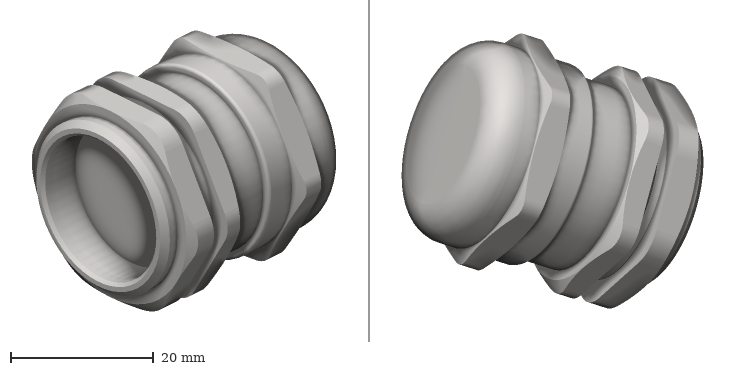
import cadquery as cq
import math

length = 35.15
across_flats = 30.0

thread_dia = 26.45
thread_root_dia = 24.5
thread_chamfer = (thread_dia - thread_root_dia) / 2
bore_dia = 22.0
bore_chamfer = 0.5

collar_dia = 27.45
collar_round = (collar_dia - thread_root_dia) / 2
body_dia = 27.0

cap_start = 19.2
cap_dia = 29.5
cap_edge_fillet = 0.5
dome_radius = 4.55

lock_nut_start = 2.45
lock_nut_thickness = 4.0
lock_nut_corner = 5.5
body_hex_start = 9.05
body_hex_thickness = 3.48
body_hex_corner = 4.5
cap_hex_start = 23.7
cap_hex_thickness = 4.45
cap_hex_corner = 3.0

bore_depth = lock_nut_start + lock_nut_thickness

collar_start = body_hex_start - collar_round

body_hex_face_dia = 29.8
nut_bevel_angle = 30.0
cap_bevel_angle = 20.0


def cylinder(start, end, diameter):
    """Round bar along Y between two positions."""
    return cq.Workplane("XZ", origin=(0, start, 0)).circle(diameter / 2).extrude(start - end)


def bevel_envelope(start, end, face_dia, angle):
    """Cone that is face_dia wide at start and widens towards end."""
    face_radius = face_dia / 2
    wide_radius = face_radius + abs(end - start) / math.tan(math.radians(angle))
    profile = [(0, start), (face_radius, start), (wide_radius, end), (0, end)]
    return cq.Workplane("XY").polyline(profile).close().revolve(360, (0, 0, 0), (0, 1, 0))


def hexagon(start, thickness, corner_radius):
    """Hexagonal prism along Y with six rounded corners, two of them pointing along X."""
    across_corners = across_flats / math.cos(math.radians(30))
    prism = cq.Workplane("XZ", origin=(0, start, 0)).polygon(6, across_corners).extrude(-thickness)
    return prism.edges("|Y").fillet(corner_radius)


def threaded_end():
    thread = cylinder(0, collar_start, thread_dia)
    return thread.faces("<Y or >Y").chamfer(thread_chamfer)


def collar():
    """Ring whose outer side is one quarter round from the thread root to the body hexagon."""
    root_radius = thread_root_dia / 2
    outer_radius = collar_dia / 2
    arc_offset = collar_round * math.sin(math.radians(45))
    arc_middle = (root_radius + arc_offset, body_hex_start - arc_offset)
    profile = (
        cq.Workplane("XY")
        .moveTo(0, collar_start)
        .lineTo(root_radius, collar_start)
        .threePointArc(arc_middle, (outer_radius, body_hex_start))
        .lineTo(0, body_hex_start)
        .close()
    )
    return profile.revolve(360, (0, 0, 0), (0, 1, 0))


def cap():
    shell = cylinder(cap_start, length, cap_dia)
    shell = shell.faces(">Y").edges().fillet(dome_radius)
    return shell.faces("<Y").edges().fillet(cap_edge_fillet)


def lock_nut():
    end = lock_nut_start + lock_nut_thickness
    nut = hexagon(lock_nut_start, lock_nut_thickness, lock_nut_corner)
    return nut.intersect(bevel_envelope(lock_nut_start, end, across_flats, nut_bevel_angle))


def body_hex():
    end = body_hex_start + body_hex_thickness
    nut = hexagon(body_hex_start, body_hex_thickness, body_hex_corner)
    return nut.intersect(bevel_envelope(end, body_hex_start, body_hex_face_dia, nut_bevel_angle))


def cap_hex():
    end = cap_hex_start + cap_hex_thickness
    nut = hexagon(cap_hex_start, cap_hex_thickness, cap_hex_corner)
    nut = nut.intersect(bevel_envelope(cap_hex_start, end, cap_dia, cap_bevel_angle))
    return nut.intersect(bevel_envelope(end, cap_hex_start, cap_dia, cap_bevel_angle))


def bore():
    """Blind bore with a chamfered mouth."""
    radius = bore_dia / 2
    profile = [
        (0, 0),
        (radius + bore_chamfer, 0),
        (radius, bore_chamfer),
        (radius, bore_depth),
        (0, bore_depth),
    ]
    return cq.Workplane("XY").polyline(profile).close().revolve(360, (0, 0, 0), (0, 1, 0))


result = cylinder(body_hex_start, cap_start, body_dia)
for section in (threaded_end(), collar(), cap(), lock_nut(), body_hex(), cap_hex()):
    result = result.union(section)
result = result.cut(bore())